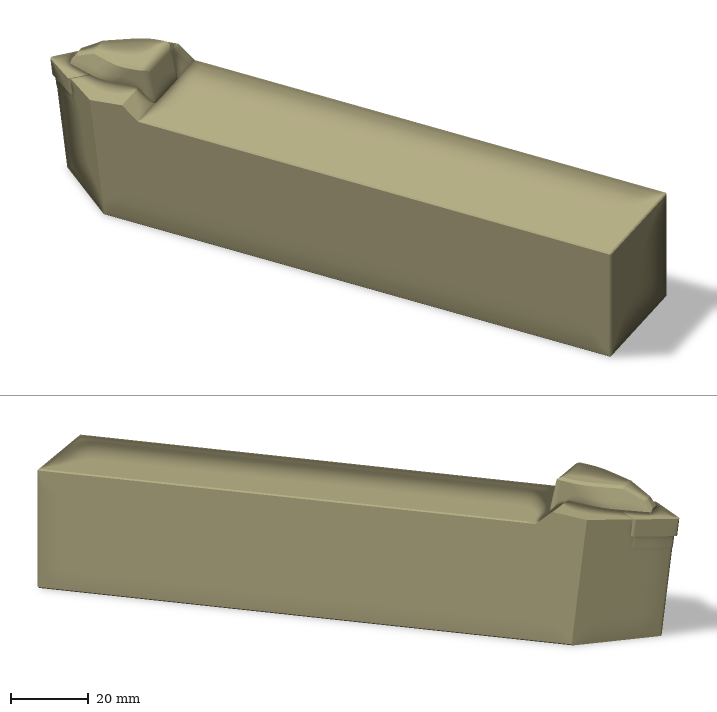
import cadquery as cq
import math

LENGTH = 169.5
SHANK = 32.0
SHANK_CHAMFER = 0.3

TILT = 7.0
SEAT_PLANE = cq.Plane(
    origin=(0, 0, SHANK),
    xDir=(math.cos(math.radians(TILT)), 0, math.sin(math.radians(TILT))),
    normal=(-math.sin(math.radians(TILT)), 0, math.cos(math.radians(TILT))),
)
SEAT = cq.Location(SEAT_PLANE)
RISE = math.tan(math.radians(TILT))

NOSE_HALF_ANGLE = math.radians(40)
INSCRIBED_CIRCLE = 12.7
CORNER_RADIUS = 0.8
INSERT_THICKNESS = 4.7
INSERT_PROUD = 0.2
SHIM_THICKNESS = 3.2
SHIM_INSET = 0.5
HOLDER_INSET = 0.6

INSERT_VERTEX = CORNER_RADIUS * (1 - 1 / math.sin(NOSE_HALF_ANGLE))
RHOMBUS_HALF_LENGTH = INSCRIBED_CIRCLE / 2 / math.sin(NOSE_HALF_ANGLE)

RIDGE_X = 28.7
GROOVE_X = 33.4
GROOVE_END_X = 36.3
HEAD_FRONT_Z = SHANK - INSERT_PROUD
RIDGE_Z = HEAD_FRONT_Z + RIDGE_X * RISE
GROOVE_Z = SHANK - (GROOVE_END_X - GROOVE_X) * RISE

CLAMP_GAP = 0.76
CLAMP_TOP = 6.3
CLAMP_HALF_WIDTH = 7.5
CLAMP_TAPER = math.radians(24)
CLAMP_BLEND_RADIUS = 18.0
CLAMP_BLEND_END = 22.0
CLAMP_RAKE = math.radians(40)
TIP_X = 7.0
TIP_EDGE_Z = 1.5
NOSE_BREAK = (8.8, 3.7)
SLOPE_END_X = 15.0
CLAMP_BACK_X = 32.0
CLAMP_BACK_RADIUS = 2.2
CLAMP_CORNER_RADIUS = 1.7
CLAMP_CHAMFER = 0.7

FLAT = 0.01
BEYOND = 67.8


def rhombus_prism(inset, top, thickness):
    """Rhombic plate in the seat frame, with all four flanks set back by inset."""
    end_inset = inset / math.sin(NOSE_HALF_ANGLE)
    half_length = RHOMBUS_HALF_LENGTH - end_inset
    half_width = half_length * math.tan(NOSE_HALF_ANGLE)
    front = INSERT_VERTEX + end_inset
    middle = front + half_length
    back = middle + half_length
    return (
        cq.Workplane("XY", origin=(0, 0, top - thickness))
        .polyline([(front, 0), (middle, -half_width), (back, 0), (middle, half_width)])
        .close()
        .extrude(thickness)
        .edges("|Z")
        .fillet(CORNER_RADIUS)
    )


def on_seat(shape):
    """Move a shape from the seat frame to its place on the holder."""
    return cq.Workplane(shape.val().moved(SEAT))


def nose_wedge():
    """Endless wedge that gives the holder its pointed front."""
    vertex = INSERT_VERTEX + HOLDER_INSET / math.sin(NOSE_HALF_ANGLE)
    spread = BEYOND * math.tan(NOSE_HALF_ANGLE)
    far = LENGTH + BEYOND
    return on_seat(
        cq.Workplane("XY", origin=(0, 0, -BEYOND))
        .polyline([(vertex, 0), (vertex + BEYOND, -spread), (far, -spread),
                   (far, spread), (vertex + BEYOND, spread)])
        .close()
        .extrude(2 * BEYOND)
        .edges("|Z and <X")
        .fillet(CORNER_RADIUS)
    )


def full_width_profile(points):
    """Prism across the whole shank width from a side outline of (x, z) points."""
    return (
        cq.Workplane("XZ", origin=(0, SHANK / 2, 0))
        .polyline(points)
        .close()
        .extrude(SHANK)
    )


def make_shank():
    """Chamfered square bar with the raised seat, the groove behind it and a pointed front."""
    bar = (
        cq.Workplane("XY")
        .box(LENGTH, SHANK, SHANK, centered=(False, True, False))
        .edges("|X or >X")
        .chamfer(SHANK_CHAMFER)
    )
    groove = full_width_profile([(0, SHANK), (0, GROOVE_Z), (GROOVE_X, GROOVE_Z), (GROOVE_END_X, SHANK)])
    head = full_width_profile([(0, SHANK_CHAMFER), (GROOVE_X, SHANK_CHAMFER), (GROOVE_X, GROOVE_Z),
                               (RIDGE_X, RIDGE_Z), (0, HEAD_FRONT_Z)])
    return bar.cut(groove).union(head).intersect(nose_wedge())


def clamp_plan():
    """Clamp outline swept along the rake, so that its sides lean toward the rear."""
    start_x = CLAMP_BLEND_END - CLAMP_BLEND_RADIUS * math.sin(CLAMP_TAPER)
    start_y = CLAMP_HALF_WIDTH - CLAMP_BLEND_RADIUS * (1 - math.cos(CLAMP_TAPER))
    mid_x = CLAMP_BLEND_END - CLAMP_BLEND_RADIUS * math.sin(CLAMP_TAPER / 2)
    mid_y = CLAMP_HALF_WIDTH - CLAMP_BLEND_RADIUS * (1 - math.cos(CLAMP_TAPER / 2))
    point_x = start_x - start_y / math.tan(CLAMP_TAPER)
    outline = (
        cq.Workplane("XY", origin=(0, 0, CLAMP_GAP))
        .moveTo(point_x, 0)
        .lineTo(start_x, -start_y)
        .threePointArc((mid_x, -mid_y), (CLAMP_BLEND_END, -CLAMP_HALF_WIDTH))
        .lineTo(BEYOND, -CLAMP_HALF_WIDTH)
        .lineTo(BEYOND, CLAMP_HALF_WIDTH)
        .lineTo(CLAMP_BLEND_END, CLAMP_HALF_WIDTH)
        .threePointArc((mid_x, mid_y), (start_x, start_y))
        .close()
    )
    height = CLAMP_TOP - CLAMP_GAP
    sweep = cq.Vector(height / math.tan(CLAMP_RAKE), 0, height)
    upper = cq.Workplane(cq.Solid.extrudeLinear(outline.val(), [], sweep))
    leg = (
        cq.Workplane("XY", origin=(CLAMP_BLEND_END, 0, CLAMP_GAP - BEYOND))
        .box(BEYOND, 2 * CLAMP_HALF_WIDTH, BEYOND, centered=(False, True, False))
    )
    return upper.union(leg)


def make_clamp():
    """Clamp finger over the insert, with a rear leg standing on the holder slope."""
    ridge = SEAT_PLANE.toLocalCoords(cq.Vector(RIDGE_X, 0, RIDGE_Z))
    groove = SEAT_PLANE.toLocalCoords(cq.Vector(GROOVE_X, 0, GROOVE_Z))
    heel_x = ridge.x - (CLAMP_GAP - ridge.z) * (groove.x - ridge.x) / (ridge.z - groove.z)
    side = (
        cq.Workplane("XZ", origin=(0, BEYOND, 0))
        .polyline([(TIP_X, CLAMP_GAP), (TIP_X, TIP_EDGE_Z), NOSE_BREAK, (SLOPE_END_X, CLAMP_TOP),
                   (CLAMP_BACK_X, CLAMP_TOP), (groove.x, groove.z), (heel_x, CLAMP_GAP)])
        .close()
        .extrude(2 * BEYOND)
    )
    back_top_rounded = side.edges("|Y").edges(">Z").edges(">X").fillet(CLAMP_BACK_RADIUS)
    clamp = clamp_plan().intersect(side)
    clamp = clamp.faces(">X").edges("not |Y").fillet(CLAMP_CORNER_RADIUS)
    crosswise_top_faces = clamp.faces().filter(
        lambda face: face.Center().z > TIP_EDGE_Z and abs(face.normalAt().y) < FLAT
    )
    clamp = crosswise_top_faces.edges("not |Y").chamfer(CLAMP_CHAMFER)
    return on_seat(clamp.intersect(back_top_rounded))


def make_holder():
    """Shank with the insert pocket cut, joined with its shim and clamp."""
    pocket = rhombus_prism(0, 0, INSERT_THICKNESS)
    shim = rhombus_prism(SHIM_INSET, -INSERT_THICKNESS, SHIM_THICKNESS)
    return make_shank().cut(on_seat(pocket)).union(on_seat(shim)).union(make_clamp())


def make_insert():
    """Rhombic insert filling the holder pocket, its tip over the shim."""
    return on_seat(rhombus_prism(0, 0, INSERT_THICKNESS))


holder = make_holder()
insert = make_insert()
result = cq.Compound.makeCompound([holder.val(), insert.val()])